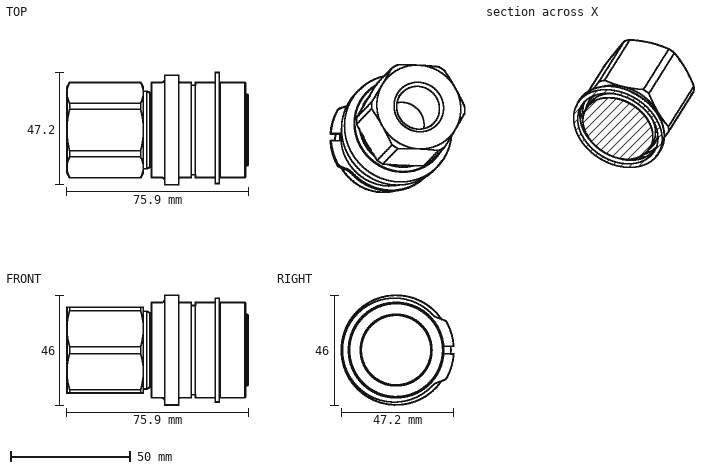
import cadquery as cq
import math

length = 75.9

body_diameter = 40.0
body_radius = body_diameter / 2

hex_flats = 36.0
hex_length = 32.0
hex_chamfer_angle = 30.0

bore_radius = 9.2
bore_mouth_radius = 10.6
bore_chamfer = 1.45
bore_depth = hex_length

neck_radius = 16.3
neck_waist_radius = 15.6
neck_cone_start = 33.5
neck_cone_end = 34.7
neck_waist_end = 37.65

barrel_start = 35.4
barrel_end = 74.9
barrel_front_chamfer = 0.2
barrel_recess_radius = 17.9
barrel_recess_depth = 3.8
barrel_end_chamfer = 0.5

flange_radius = 23.0
flange_start = 40.9
flange_end = 46.8
flange_front_fillet = 1.1
flange_back_fillet = 0.4

groove_radius = 18.75
open_groove_start = 52.1
open_groove_end = 53.8
ring_groove_start = 62.0
ring_groove_end = 64.1

tip_radius = 15.0
tip_chamfer = 0.45

ring_start = ring_groove_start
ring_thickness = 1.8
ring_radius = 21.8
ring_offset = -0.7

ear_radius = 24.2
ear_flank_angle = 18.4
ear_flank_offset = 19.3
ear_corner_radius = 2.65
ear_root_radius = 5.7
ring_gap = 3.1


def make_turned_blank():
    """Revolve the stepped outside of the coupling about the X axis."""
    hex_chamfer = (body_radius - hex_flats / 2) * math.tan(math.radians(hex_chamfer_angle))
    neck_cone_length = neck_cone_end - neck_cone_start
    recess_floor = barrel_start + barrel_recess_depth
    fillet_mid = 1 - math.sqrt(0.5)
    front = flange_front_fillet
    back = flange_back_fillet
    profile = (
        cq.Workplane("XY")
        .moveTo(0, 0)
        .lineTo(0, hex_flats / 2)
        .lineTo(hex_chamfer, body_radius)
        .lineTo(hex_length - hex_chamfer, body_radius)
        .lineTo(hex_length, hex_flats / 2)
        .lineTo(hex_length, neck_radius)
        .lineTo(neck_cone_start, neck_radius)
        .lineTo(neck_cone_end, neck_waist_radius)
        .lineTo(neck_waist_end, neck_waist_radius)
        .lineTo(neck_waist_end + neck_cone_length, neck_radius)
        .lineTo(recess_floor, neck_radius)
        .lineTo(recess_floor, barrel_recess_radius)
        .lineTo(barrel_start, barrel_recess_radius)
        .lineTo(barrel_start, body_radius - barrel_front_chamfer)
        .lineTo(barrel_start + barrel_front_chamfer, body_radius)
        .lineTo(flange_start - front, body_radius)
        .threePointArc(
            (flange_start - front * fillet_mid, body_radius + front * fillet_mid),
            (flange_start, body_radius + front),
        )
        .lineTo(flange_start, flange_radius)
        .lineTo(flange_end, flange_radius)
        .lineTo(flange_end, body_radius + back)
        .threePointArc(
            (flange_end + back * fillet_mid, body_radius + back * fillet_mid),
            (flange_end + back, body_radius),
        )
        .lineTo(barrel_end - barrel_end_chamfer, body_radius)
        .lineTo(barrel_end, body_radius - barrel_end_chamfer)
        .lineTo(barrel_end, tip_radius)
        .lineTo(length - tip_chamfer, tip_radius)
        .lineTo(length, tip_radius - tip_chamfer)
        .lineTo(length, 0)
        .close()
    )
    return profile.revolve(360, (0, 0), (1, 0))


def make_groove(start, end):
    """Tube that cuts a square groove into the barrel."""
    return (
        cq.Workplane("YZ", origin=(start, 0, 0))
        .circle(flange_radius)
        .circle(groove_radius)
        .extrude(end - start)
    )


def make_hex_waste():
    """Material outside the six flats, with two of the flats facing up and down."""
    hex_corners = hex_flats / math.cos(math.pi / 6)
    return (
        cq.Workplane("YZ")
        .circle(hex_corners)
        .polygon(6, hex_corners)
        .extrude(hex_length)
    )


def make_bore():
    """Blind bore with a tapered mouth."""
    return (
        cq.Workplane("XY")
        .polyline([
            (0, 0),
            (0, bore_mouth_radius),
            (bore_chamfer, bore_radius),
            (bore_depth, bore_radius),
            (bore_depth, 0),
        ])
        .close()
        .revolve(360, (0, 0), (1, 0))
    )


def make_coupling():
    """Coupling body: turned blank with its hexagon, bore and grooves cut."""
    return (
        make_turned_blank()
        .cut(make_hex_waste())
        .cut(make_bore())
        .cut(make_groove(open_groove_start, open_groove_end))
        .cut(make_groove(ring_groove_start, ring_groove_end))
    )


def make_ears():
    """Rounded lug on the +Y side, bounded by the ear circle and two sloping flanks."""
    reach = ear_flank_offset / math.tan(math.radians(ear_flank_angle))
    wedge = (
        cq.Workplane("YZ", origin=(ring_start, 0, 0))
        .polyline([(0, -ear_flank_offset), (reach, 0), (0, ear_flank_offset)])
        .close()
        .extrude(ring_thickness)
    )
    disc = cq.Workplane("YZ", origin=(ring_start, 0, 0)).circle(ear_radius).extrude(ring_thickness)
    lug = disc.intersect(wedge)
    return lug.edges("|X").edges(">Y").fillet(ear_corner_radius)


def make_retaining_ring():
    """Split ring seated on the floor of its groove."""
    plane = cq.Workplane("YZ", origin=(ring_start, 0, 0))
    disc = plane.center(ring_offset, 0).circle(ring_radius).extrude(ring_thickness)
    opening = plane.circle(groove_radius).extrude(ring_thickness)
    gap = plane.center(ear_radius / 2, 0).rect(ear_radius, ring_gap).extrude(ring_thickness)

    root_zone = cq.selectors.BoxSelector(
        (ring_start, groove_radius / 2, -body_radius),
        (ring_start + ring_thickness, groove_radius, body_radius),
    )
    blended = disc.union(make_ears()).edges("|X").edges(root_zone).fillet(ear_root_radius)
    return blended.cut(opening).cut(gap)


coupling = make_coupling()
retaining_ring = make_retaining_ring()

result = cq.Compound.makeCompound([coupling.val(), retaining_ring.val()])